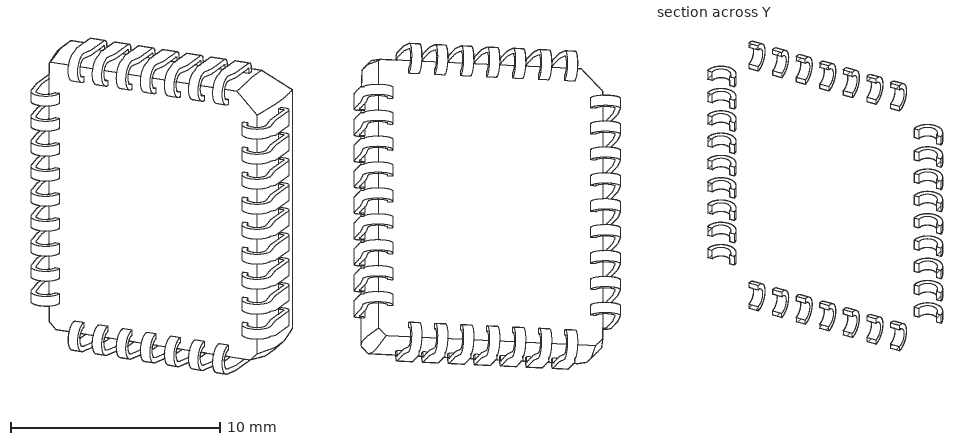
import cadquery as cq
import math


lead_span_x = 12.58
lead_span_z = 15.12
overall_depth = 4.96

body_width = 11.49
body_height = 14.06
band_front_y = 2.39
band_back_y = 3.46
front_face_y = 0.9
back_face_y = overall_depth
draft_angle = 10.0

pin_one_chamfer = 1.21
top_left_chamfer = 0.23
bottom_chamfer = 0.51

slope_drop = 1.36
dimple_diameter = 0.95
dimple_depth = 0.1

lead_pitch = 1.27
leads_per_long_side = 9
leads_per_short_side = 7
lead_thickness = 0.25
lead_width = 0.75
foot_width = 0.5
lead_top_y = 3.05
shoulder_radius = 0.3
shoulder_inner_radius = shoulder_radius - lead_thickness
foot_radius = 0.73
taper_start_y = 1.25
lead_embed = 0.15


def body_outline(y):
    """Chamfered rectangle at depth y, on a plane that faces -Y."""
    right = body_width / 2
    top = body_height / 2
    return (
        cq.Workplane("XZ", origin=(0, y, 0))
        .moveTo(-right + bottom_chamfer, -top)
        .lineTo(right - bottom_chamfer, -top)
        .lineTo(right, -top + bottom_chamfer)
        .lineTo(right, top - pin_one_chamfer)
        .lineTo(right - pin_one_chamfer, top)
        .lineTo(-right + top_left_chamfer, top)
        .lineTo(-right, top - top_left_chamfer)
        .lineTo(-right, -top + bottom_chamfer)
        .close()
    )


def slope_cutter():
    """Wedge that slopes the top down from the band to the back face."""
    top = body_height / 2
    return (
        cq.Workplane("YZ")
        .moveTo(band_back_y, top)
        .lineTo(back_face_y, top)
        .lineTo(back_face_y, top - slope_drop)
        .close()
        .extrude(body_width / 2, both=True)
    )


def dimple_cutter():
    """Sphere that leaves a shallow dimple in the middle of the sloping top."""
    radius = ((dimple_diameter / 2) ** 2 + dimple_depth**2) / (2 * dimple_depth)
    rise = radius - dimple_depth
    slope_depth = back_face_y - band_back_y
    slope_length = math.hypot(slope_depth, slope_drop)
    centre_y = (band_back_y + back_face_y) / 2 + rise * slope_drop / slope_length
    centre_z = (body_height - slope_drop) / 2 + rise * slope_depth / slope_length
    return cq.Workplane("XY").sphere(radius).translate((0, centre_y, centre_z))


def make_body():
    band = body_outline(band_back_y).extrude(band_back_y - band_front_y)
    front = body_outline(band_front_y).extrude(band_front_y - front_face_y, taper=draft_angle)
    back = body_outline(band_back_y).extrude(band_back_y - back_face_y, taper=draft_angle)
    back = back.cut(slope_cutter()).cut(dimple_cutter())
    return band.union(front).union(back)


def make_lead(stand_off):
    """Lead on the +X side with its outer face at X = 0 and the body wall stand_off behind it."""
    stub_x = -stand_off - lead_embed
    hook_middle_x = -foot_radius
    hook_tip_x = -2 * foot_radius
    shoulder_y = lead_top_y - shoulder_radius
    strip = (
        cq.Workplane("XY")
        .moveTo(stub_x, lead_top_y)
        .lineTo(-shoulder_radius, lead_top_y)
        .radiusArc((0, shoulder_y), shoulder_radius)
        .lineTo(0, foot_radius)
        .threePointArc((hook_middle_x, 0), (hook_tip_x, foot_radius))
        .lineTo(hook_tip_x + lead_thickness, foot_radius)
        .threePointArc((hook_middle_x, lead_thickness), (-lead_thickness, foot_radius))
        .lineTo(-lead_thickness, shoulder_y)
        .radiusArc((-shoulder_radius, lead_top_y - lead_thickness), -shoulder_inner_radius)
        .lineTo(stub_x, lead_top_y - lead_thickness)
        .close()
        .extrude(lead_width / 2, both=True)
    )
    face_outline = (
        cq.Workplane("YZ")
        .moveTo(0, -foot_width / 2)
        .lineTo(foot_radius, -foot_width / 2)
        .lineTo(taper_start_y, -lead_width / 2)
        .lineTo(lead_top_y, -lead_width / 2)
        .lineTo(lead_top_y, lead_width / 2)
        .lineTo(taper_start_y, lead_width / 2)
        .lineTo(foot_radius, foot_width / 2)
        .lineTo(0, foot_width / 2)
        .close()
        .extrude(hook_tip_x, both=True)
    )
    return strip.intersect(face_outline)


def lead_row(count, span, body_size):
    """Row of leads along Z, placed on the +X side."""
    lead = make_lead((span - body_size) / 2)
    first_z = -(count - 1) * lead_pitch / 2
    return [lead.translate((span / 2, 0, first_z + i * lead_pitch)) for i in range(count)]


long_row = lead_row(leads_per_long_side, lead_span_x, body_width)
short_row = lead_row(leads_per_short_side, lead_span_z, body_height)

result = make_body()
for row, angles in ((long_row, (0, 180)), (short_row, (90, 270))):
    for angle in angles:
        for lead in row:
            result = result.union(lead.rotate((0, 0, 0), (0, 1, 0), angle))